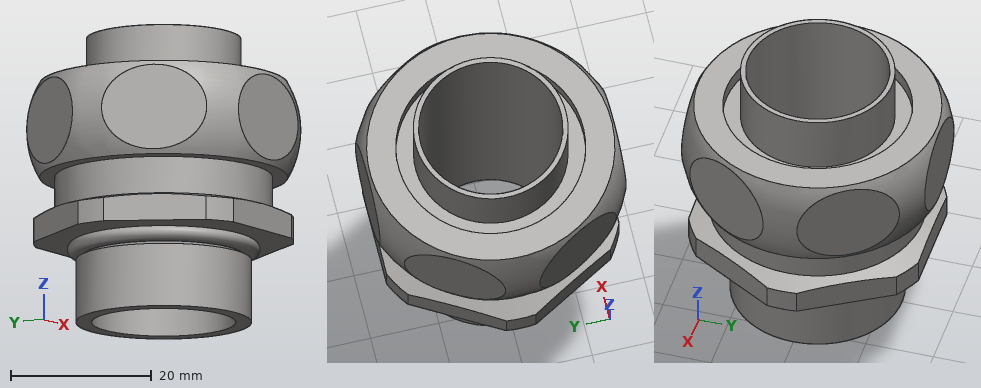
import cadquery as cq
import math

thread_top = 9.0
chamfer_top = 9.55
flange_bottom = 11.5
body_shoulder = 15.75
nut_bottom = 21.0
nut_top = 34.5
tube_top = 41.0

bore_radius = 10.25
tube_radius = 11.0
thread_radius = 12.5
neck_radius = 11.5
body_radius = 15.5

hexagon_sides = 6

flange_across_flats = 34.0
flange_corner_radius = 18.5
flange_cone_angle = 16.0

nut_across_flats = 36.0
nut_end_radius = 17.65
nut_barrel_radius = 19.5
nut_recess_radius = 13.5
nut_recess_depth = 2.0

seal_thickness = 1.9
seal_outer_radius = 13.7


def hexagon(across_flats, bottom, top):
    """Hexagonal prism with two corners on the X axis."""
    across_corners = across_flats / math.cos(math.pi / hexagon_sides)
    base = cq.Workplane("XY").workplane(offset=bottom)
    return base.polygon(hexagon_sides, across_corners).extrude(top - bottom)


def cylinder(radius, bottom, top):
    """Solid cylinder about the Z axis between two heights."""
    return cq.Workplane("XY").workplane(offset=bottom).circle(radius).extrude(top - bottom)


def revolve_about_z(profile):
    """Revolve a closed (radius, height) profile drawn on the XZ plane."""
    return profile.revolve(360, (0, 0, 0), (0, 1, 0))


def make_thread_and_neck():
    """Thread end with its chamfer, the neck above it and the half-round seal on the neck."""
    seal_bottom = flange_bottom - seal_thickness
    seal_middle = flange_bottom - seal_thickness / 2
    seal_flat_radius = seal_outer_radius - seal_thickness / 2
    profile = (
        cq.Workplane("XZ")
        .lineTo(thread_radius, 0)
        .lineTo(thread_radius, thread_top)
        .lineTo(neck_radius, chamfer_top)
        .lineTo(neck_radius, seal_bottom)
        .lineTo(seal_flat_radius, seal_bottom)
        .threePointArc((seal_outer_radius, seal_middle), (seal_flat_radius, flange_bottom))
        .lineTo(0, flange_bottom)
        .close()
    )
    return revolve_about_z(profile)


def make_flange():
    """Hexagon with rounded corners and a conical top that meets the round body."""
    cone_drop = (flange_corner_radius - body_radius) * math.tan(math.radians(flange_cone_angle))
    envelope = (
        cq.Workplane("XZ")
        .moveTo(0, flange_bottom)
        .lineTo(flange_corner_radius, flange_bottom)
        .lineTo(flange_corner_radius, body_shoulder - cone_drop)
        .lineTo(body_radius, body_shoulder)
        .lineTo(0, body_shoulder)
        .close()
    )
    prism = hexagon(flange_across_flats, flange_bottom, body_shoulder)
    return prism.intersect(revolve_about_z(envelope))


def make_nut():
    """Barrel trimmed by six flats, with a round recess in its top face."""
    nut_middle = (nut_bottom + nut_top) / 2
    barrel = (
        cq.Workplane("XZ")
        .moveTo(0, nut_bottom)
        .lineTo(nut_end_radius, nut_bottom)
        .threePointArc((nut_barrel_radius, nut_middle), (nut_end_radius, nut_top))
        .lineTo(0, nut_top)
        .close()
    )
    nut = hexagon(nut_across_flats, nut_bottom, nut_top).intersect(revolve_about_z(barrel))
    return nut.cut(cylinder(nut_recess_radius, nut_top - nut_recess_depth, nut_top))


result = (
    make_thread_and_neck()
    .union(make_flange())
    .union(cylinder(body_radius, body_shoulder, nut_bottom))
    .union(make_nut())
    .union(cylinder(tube_radius, nut_bottom, tube_top))
    .cut(cylinder(bore_radius, 0, tube_top))
)